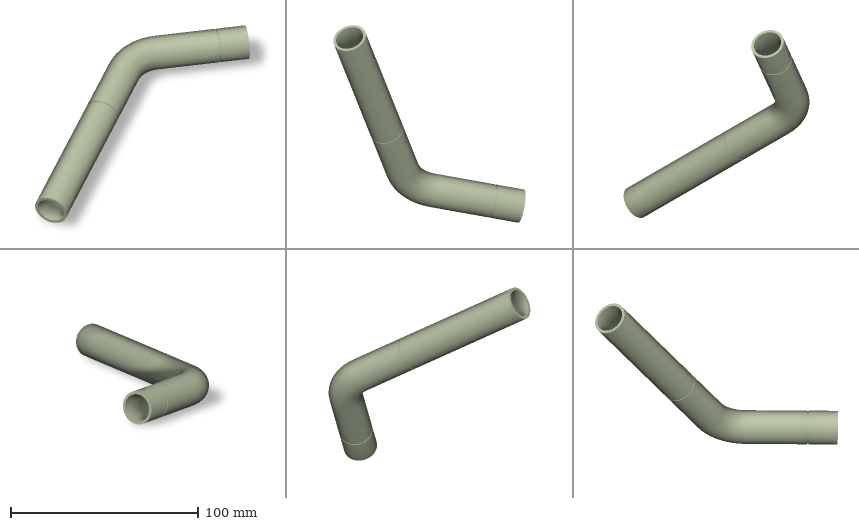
import cadquery as cq
import math

outer_diameter = 18.0
bore_diameter = 15.0

long_leg = 109.2
short_leg = 49.2
bend_radius = 22.2
bend_angle = 60

groove_offset = 32.8
groove_width = 1.0
groove_depth = 0.3

angle = math.radians(bend_angle)
bend_start = cq.Vector(0, long_leg, 0)


def point_on_bend(turn):
    """Point of the bend centreline after turning through the given angle."""
    return bend_start + cq.Vector(1 - math.cos(turn), math.sin(turn), 0) * bend_radius


bend_middle = point_on_bend(angle / 2)
bend_end = point_on_bend(angle)
long_direction = cq.Vector(0, 1, 0)
short_direction = cq.Vector(math.sin(angle), math.cos(angle), 0)
tube_end = bend_end + short_direction * short_leg


def swept_rod(diameter):
    """Solid round rod along the whole centreline."""
    path = (
        cq.Workplane("XY")
        .lineTo(bend_start.x, bend_start.y)
        .threePointArc((bend_middle.x, bend_middle.y), (bend_end.x, bend_end.y))
        .lineTo(tube_end.x, tube_end.y)
    )
    profile_plane = cq.Plane(origin=(0, 0, 0), xDir=(1, 0, 0), normal=long_direction)
    return cq.Workplane(profile_plane).circle(diameter / 2).sweep(path)


def groove_cutter(bend_face, away_from_bend):
    """Ring that cuts one groove into a leg, starting groove_offset from the bend."""
    plane = cq.Plane(
        origin=bend_face + away_from_bend * groove_offset,
        xDir=(0, 0, 1),
        normal=away_from_bend,
    )
    return (
        cq.Workplane(plane)
        .circle(outer_diameter)
        .circle(outer_diameter / 2 - groove_depth)
        .extrude(groove_width)
    )


result = swept_rod(outer_diameter).cut(swept_rod(bore_diameter))
result = result.cut(groove_cutter(bend_start, long_direction * -1))
result = result.cut(groove_cutter(bend_end, short_direction))